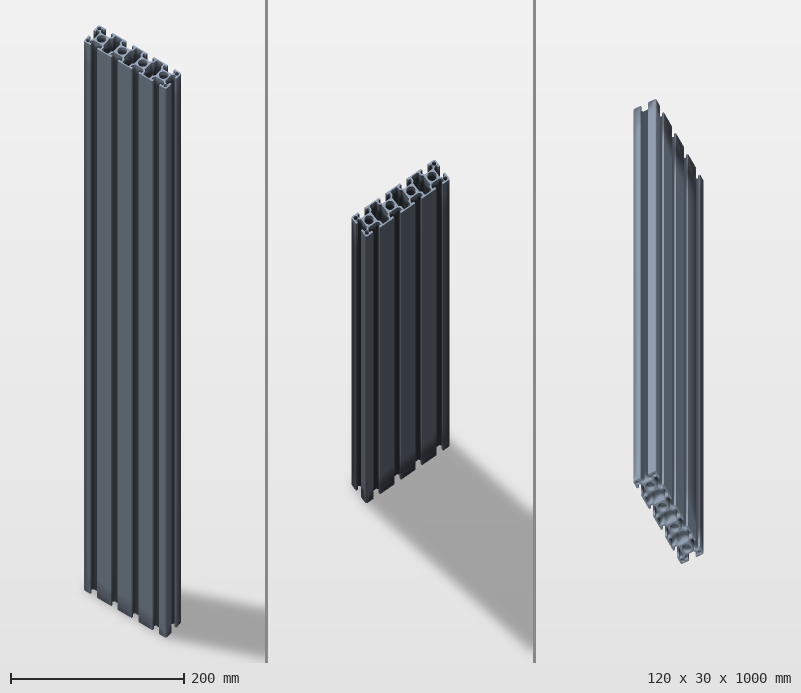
import cadquery as cq

cell_size = 30.0
cell_count = 4
length = 1000.0
corner_radius = 2.0

slot_opening = 9.5
slot_depth = 8.0
slot_inner_width = 16.0
slot_floor_width = 11.0
lip_thickness = 2.5

bore_diameter = 11.0

corner_hole_diameter = 5.0
corner_hole_inset = 4.0

chamber_wall = 1.5
chamber_end_width = 10.0
chamber_middle_width = 15.0
chamber_middle_height = 13.0
chamber_shoulder_height = 2.0
chamber_end_chamfer = 1.0

width = cell_size * cell_count
half_width = width / 2
half_cell = cell_size / 2
cell_centers = [(index - (cell_count - 1) / 2) * cell_size for index in range(cell_count)]
cell_joints = [center + half_cell for center in cell_centers[:-1]]


def mirrored_prism(right_side):
    """Full-length prism whose outline is the given right side plus its mirror image in X."""
    left_side = [(-x, y) for x, y in reversed(right_side)]
    return cq.Workplane("XY").polyline(right_side + left_side).close().extrude(length)


def t_slot(center_x, angle):
    """Slot cutter for one cell face: angle 0 opens toward +Y, 90 toward -X."""
    lip_bottom = half_cell - lip_thickness
    floor = half_cell - slot_depth
    flank_bottom = floor + (slot_inner_width - slot_floor_width) / 2
    cutter = mirrored_prism([
        (slot_opening / 2, half_cell),
        (slot_opening / 2, lip_bottom),
        (slot_inner_width / 2, lip_bottom),
        (slot_inner_width / 2, flank_bottom),
        (slot_floor_width / 2, floor),
    ])
    return cutter.rotate((0, 0, 0), (0, 0, 1), angle).translate((center_x, 0, 0))


def chamber(joint_x):
    """Cutter for the hollow chamber centred on a joint between two cells."""
    end = half_cell - chamber_wall
    shoulder = chamber_middle_height / 2
    upper_right = [
        (chamber_middle_width / 2, shoulder),
        (chamber_end_width / 2, shoulder + chamber_shoulder_height),
        (chamber_end_width / 2, end - chamber_end_chamfer),
        (chamber_end_width / 2 - chamber_end_chamfer, end),
    ]
    lower_right = [(x, -y) for x, y in reversed(upper_right)]
    return mirrored_prism(lower_right + upper_right).translate((joint_x, 0, 0))


def round_holes(points, diameter):
    """Cutters for full-length round holes at the given points."""
    return cq.Workplane("XY").pushPoints(points).circle(diameter / 2).extrude(length)


result = cq.Workplane("XY").box(width, cell_size, length, centered=(True, True, False))
result = result.edges("|Z").fillet(corner_radius)

for center in cell_centers:
    result = result.cut(t_slot(center, 0)).cut(t_slot(center, 180))
result = result.cut(t_slot(cell_centers[0], 90)).cut(t_slot(cell_centers[-1], -90))

for joint in cell_joints:
    result = result.cut(chamber(joint))

bore_points = [(center, 0) for center in cell_centers]
corner_points = [
    (x_sign * (half_width - corner_hole_inset), y_sign * (half_cell - corner_hole_inset))
    for x_sign in (-1, 1)
    for y_sign in (-1, 1)
]
result = result.cut(round_holes(bore_points, bore_diameter))
result = result.cut(round_holes(corner_points, corner_hole_diameter))